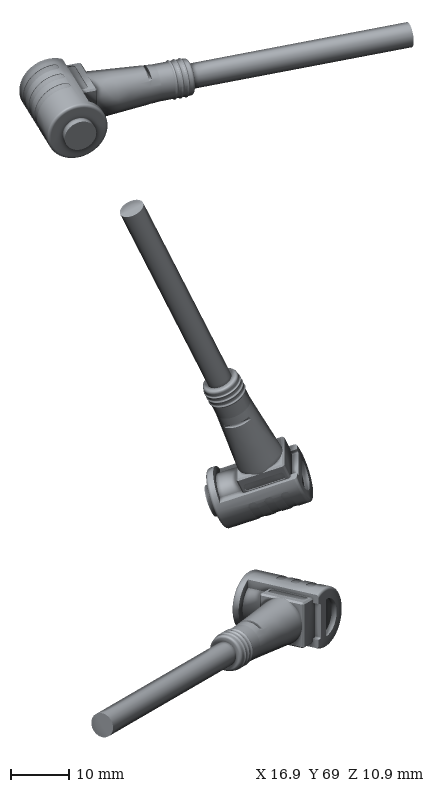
import cadquery as cq

head_radius = 10.9 / 2
head_left = -5.63
head_right = 10.07
head_edge_fillet = 0.5
nose_radius = 5.7 / 2
nose_length = 1.2
core_radius = 8.3 / 2

flat_y = 2.4
collar_left = 8.62

block_half_width = 4.45
block_half_height = 4.2
block_end_y = 5.45
block_chamfer = 0.3

notch_y = 1.7
notch_half_height = 3.3
notch_corner_radius = 0.3

recess_half_width = 3.75
recess_start_y = 2.55
recess_end_y = 4.05
recess_corner_radius = 1.1 / 2
recess_depth = 0.2

groove_count = 3
groove_width = 1.5
groove_pitch = 3.02
first_groove_x = -2.58
groove_depth = 0.12
groove_end_y = 0.75
groove_corner_radius = 1.1 / 2

pocket_radius = 3.45
pocket_depth = 1.0
pocket_corner_radius = 0.35

cable_radius = 4.4 / 2
overall_length = 68.95
cable_end_y = overall_length - head_radius
boot_end_y = 23.63
boot_radius = 6.5 / 2
boot_base_radius = 4.2
boot_end_fillet = 0.45
taper_end_y = 17.5
ridge_radius = 6.9 / 2
ridge_count = 3
ridge_pitch = 1.05
ridge_width = 0.6
first_ridge_y = 20.3

slot_start_y = 15.45
slot_width = 0.6
slot_floor_z = 2.4


def cylinder_x(radius, x_start, x_end):
    """Solid cylinder on the head axis."""
    return cq.Workplane("YZ", origin=(x_start, 0, 0)).circle(radius).extrude(x_end - x_start)


def box_between(x_range, y_range, z_range):
    """Box given by its limits along each axis."""
    lows, highs = zip(x_range, y_range, z_range)
    sizes = [high - low for low, high in zip(lows, highs)]
    return cq.Workplane("XY").box(*sizes, centered=False).translate(lows)


def make_head():
    sleeve = cylinder_x(head_radius, head_left, head_right).edges().fillet(head_edge_fillet)
    removed = box_between(
        (head_left, collar_left), (flat_y, head_radius), (-head_radius, head_radius)
    )
    core = cylinder_x(core_radius, -block_half_width, head_right)
    nose = cylinder_x(nose_radius, head_right, head_right + nose_length)
    return sleeve.cut(removed).union(core).union(nose)


def make_cap_notch():
    notch = box_between(
        (head_left, -block_half_width),
        (notch_y, block_end_y),
        (-notch_half_height, notch_half_height),
    )
    return notch.edges("|X and <Y").fillet(notch_corner_radius)


def make_neck_block():
    block = box_between(
        (-block_half_width, block_half_width),
        (0, block_end_y),
        (-block_half_height, block_half_height),
    )
    return block.edges("|Y or >Y").chamfer(block_chamfer)


def make_block_recess(side):
    """Shallow recess in the top (side = 1) or bottom (side = -1) of the neck block."""
    floor_z = block_half_height - recess_depth
    recess = box_between(
        (-recess_half_width, recess_half_width),
        (recess_start_y, recess_end_y),
        (floor_z, head_radius),
    )
    recess = recess.edges("|Z").fillet(recess_corner_radius)
    return recess if side > 0 else recess.mirror("XY")


def make_groove(center_x):
    """Shallow band around the -Y side of the head, with rounded corners at both ends."""
    half_width = groove_width / 2
    x_start = center_x - half_width
    x_end = center_x + half_width
    band_radius = head_radius + groove_depth
    floor = cylinder_x(head_radius - groove_depth, x_start, x_end)
    band = cylinder_x(band_radius, x_start, x_end).cut(floor)
    reach = box_between(
        (x_start, x_end),
        (-band_radius, groove_end_y),
        (-band_radius, band_radius),
    )
    reach = reach.edges("|Z and >Y").fillet(groove_corner_radius)
    return band.intersect(reach)


def make_end_pocket():
    pocket = (
        cq.Workplane("YZ", origin=(head_left, 0, 0))
        .moveTo(0, -pocket_radius)
        .threePointArc((-pocket_radius, 0), (0, pocket_radius))
        .close()
        .extrude(pocket_depth)
    )
    return pocket.edges("|X").fillet(pocket_corner_radius)


def make_boot():
    """Turned boot: tapered base, plain barrel, three rounded ridges and a rounded end."""
    wave = []
    for index in range(ridge_count):
        ridge_y = first_ridge_y + index * ridge_pitch
        wave.append((boot_radius, ridge_y - ridge_width / 2))
        wave.append((ridge_radius, ridge_y))
        wave.append((boot_radius, ridge_y + ridge_width / 2))
    foot_direction = (1, 1)
    along_axis = [(0, 1)] * (len(wave) - 1)
    outline = (
        cq.Workplane("XY")
        .moveTo(0, 0)
        .lineTo(boot_base_radius, 0)
        .lineTo(boot_base_radius, block_end_y)
        .lineTo(boot_radius, taper_end_y)
        .lineTo(*wave[0])
        .spline(wave, tangents=[foot_direction] + along_axis)
        .lineTo(boot_radius, boot_end_y)
        .lineTo(0, boot_end_y)
        .close()
    )
    boot = outline.revolve(360, (0, 0, 0), (0, 1, 0))
    return boot.faces(">Y").edges().fillet(boot_end_fillet)


def make_flex_slot(side):
    """Slot across the top (side = 1) or bottom (side = -1) of the boot."""
    slot = box_between(
        (-boot_base_radius, boot_base_radius),
        (slot_start_y, slot_start_y + slot_width),
        (slot_floor_z, boot_base_radius),
    )
    return slot if side > 0 else slot.mirror("XY")


cable = cq.Workplane("XZ").circle(cable_radius).extrude(-cable_end_y)

result = make_head().cut(make_cap_notch()).union(make_neck_block()).union(make_boot()).union(cable)
result = result.cut(make_end_pocket())
for groove_index in range(groove_count):
    result = result.cut(make_groove(first_groove_x + groove_index * groove_pitch))
for side in (1, -1):
    result = result.cut(make_block_recess(side)).cut(make_flex_slot(side))